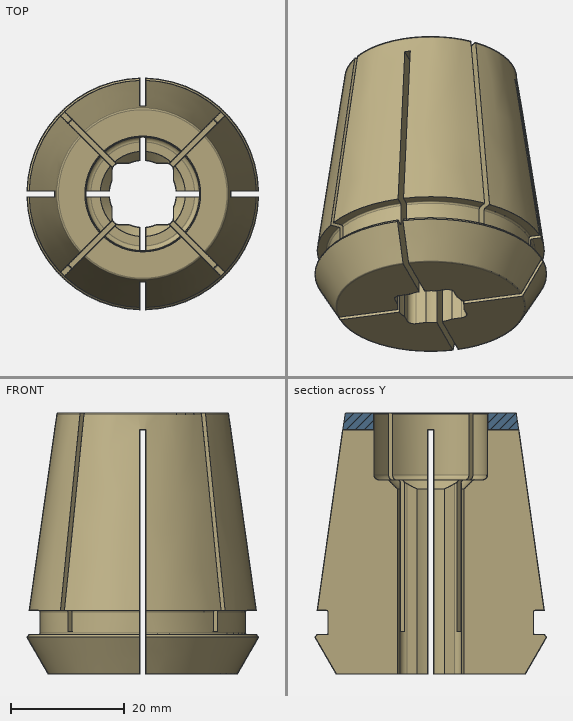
import cadquery as cq
import math

height = 46.0

edge_tolerance = 1e-4

nose_radius = 20.4
nose_widest_z = 6.5
nose_half_angle = 30.0
nose_top_z = 7.0
nose_top_radius = 20.0
nose_bottom_fillet = 0.2
nose_bottom_radius = nose_radius - nose_widest_z * math.tan(math.radians(nose_half_angle))

neck_radius = 18.1
groove_top_z = 11.2
groove_top_fillet = 0.3
groove_bottom_fillet = 0.2

taper_radius = 20.0
taper_half_angle = 8.0
rim_fillet = 0.3
taper_top_radius = taper_radius - (height - groove_top_z) * math.tan(math.radians(taper_half_angle))

bore_radius = 10.0
bore_floor_z = 34.2
bore_floor_fillet = 0.85
bore_rim_chamfer = 0.2

countersink_radius = 7.5
countersink_half_angle = 45.0

square_side = 10.8
square_corner_fillet = 1.25
clearance_radius = 5.9

countersink_depth = (countersink_radius - clearance_radius) / math.tan(math.radians(countersink_half_angle))

slot_width = 1.0
slot_overrun = 1.0
slot_length = 2 * (nose_radius + slot_overrun)
lower_slot_top_z = 43.0
upper_slot_bottom_z = 7.5
lower_slot_angles = (0.0, 90.0)
upper_slot_angles = (45.0, 135.0)


def circle_edge(body, radius, z):
    """Select the full-circle edges of the given radius at height z."""
    centre = cq.Vector(0, 0, z)
    return body.edges("%CIRCLE").filter(
        lambda edge: abs(edge.radius() - radius) < edge_tolerance
        and (edge.arcCenter() - centre).Length < edge_tolerance
    )


def outer_body():
    """Turned outside shape: nose, groove and long taper, with its corners rounded."""
    profile = (
        cq.Workplane("XZ")
        .moveTo(0, 0)
        .lineTo(nose_bottom_radius, 0)
        .lineTo(nose_radius, nose_widest_z)
        .lineTo(nose_top_radius, nose_top_z)
        .lineTo(neck_radius, nose_top_z)
        .lineTo(neck_radius, groove_top_z)
        .lineTo(taper_radius, groove_top_z)
        .lineTo(taper_top_radius, height)
        .lineTo(0, height)
        .close()
    )
    body = profile.revolve(360, (0, 0, 0), (0, 1, 0))
    rounded_corners = (
        (nose_bottom_radius, 0, nose_bottom_fillet),
        (neck_radius, nose_top_z, groove_bottom_fillet),
        (neck_radius, groove_top_z, groove_top_fillet),
        (taper_top_radius, height, rim_fillet),
    )
    for radius, z, fillet in rounded_corners:
        body = circle_edge(body, radius, z).fillet(fillet)
    return body


def shank_bore():
    """Round bore with a rounded floor edge and a flared mouth."""
    bore = (
        cq.Workplane("XY")
        .workplane(offset=bore_floor_z)
        .circle(bore_radius)
        .extrude(height - bore_floor_z)
        .faces("<Z")
        .edges()
        .fillet(bore_floor_fillet)
    )
    mouth = cq.Solid.makeCone(
        bore_radius,
        bore_radius + bore_rim_chamfer,
        bore_rim_chamfer,
        pnt=cq.Vector(0, 0, height - bore_rim_chamfer),
    )
    return bore.union(cq.Workplane(mouth))


def countersink():
    """Cone that narrows from the bore floor to the round clearance."""
    cone = cq.Solid.makeCone(
        clearance_radius,
        countersink_radius,
        countersink_depth,
        pnt=cq.Vector(0, 0, bore_floor_z - countersink_depth),
    )
    return cq.Workplane(cone)


def square_socket():
    """Square hole with rounded corners, joined to the round clearance."""
    square = cq.Workplane("XY").rect(square_side, square_side).extrude(bore_floor_z)
    square = square.edges("|Z").fillet(square_corner_fillet)
    clearance = cq.Workplane("XY").circle(clearance_radius).extrude(bore_floor_z)
    return square.union(clearance)


def slot(angle, bottom_z, top_z):
    """Straight saw cut through the full width of the collet."""
    return (
        cq.Workplane("XY")
        .workplane(offset=bottom_z)
        .rect(slot_length, slot_width)
        .extrude(top_z - bottom_z)
        .rotate((0, 0, 0), (0, 0, 1), angle)
    )


result = outer_body().cut(shank_bore()).cut(countersink()).cut(square_socket())
for slot_angle in lower_slot_angles:
    result = result.cut(slot(slot_angle, 0, lower_slot_top_z))
for slot_angle in upper_slot_angles:
    result = result.cut(slot(slot_angle, upper_slot_bottom_z, height))